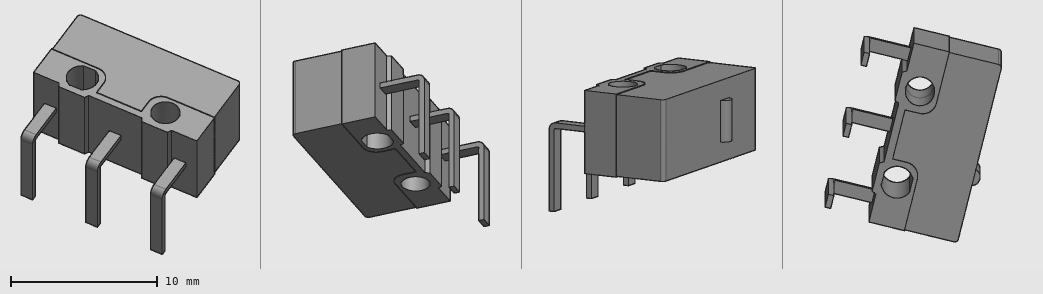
import cadquery as cq
import math

BASE_LENGTH = 12.8
BASE_DEPTH = 2.5
BASE_HEIGHT = 5.8

COVER_STEP = 0.05
COVER_REAR_Y = 6.22
COVER_CORNER_RADIUS = 0.25
COVER_LENGTH = BASE_LENGTH - 2 * COVER_STEP
COVER_HEIGHT = BASE_HEIGHT - 2 * COVER_STEP

TONGUE_WIDTH = 3.51
TONGUE_FRONT_Y = 0.52
NOTCH_CORNER_RADIUS = 0.97

HOLE_OFFSET_X = 3.25
HOLE_Y = 1.2
HOLE_DIAMETER = 2.0
WIDE_HOLE_LENGTH = 2.2
PAD_ROOT_WIDTH = 2.34
PAD_FACE_WIDTH = 2.02
PAD_PROJECTION = 0.3

BUTTON_X = -1.95
BUTTON_RADIUS = 0.6
BUTTON_HEIGHT = 2.89
BUTTON_TIP_Y = 6.71

TERMINAL_COUNT = 3
TERMINAL_PITCH = 5.08
TERMINAL_WIDTH = 0.92
TERMINAL_THICKNESS = 0.4
TERMINAL_INNER_RADIUS = 0.1
TERMINAL_REACH = 3.29
OVERALL_HEIGHT = 8.9
TERMINAL_BOTTOM_Z = BASE_HEIGHT / 2 - OVERALL_HEIGHT


def extrude_centred(sketch, height):
    """Extrude an XY outline equally above and below Z = 0."""
    return sketch.extrude(height / 2, both=True)


def make_base():
    """Front block with a round-cornered notch open to the rear."""
    half_length = BASE_LENGTH / 2
    half_tongue = TONGUE_WIDTH / 2
    shoulder_x = half_tongue + NOTCH_CORNER_RADIUS
    shoulder_y = BASE_DEPTH - NOTCH_CORNER_RADIUS
    arc_rise = NOTCH_CORNER_RADIUS * math.sqrt(0.5)
    arc_mid_x = shoulder_x - arc_rise
    arc_mid_y = shoulder_y + arc_rise
    outline = (
        cq.Workplane("XY")
        .moveTo(-half_length, 0)
        .lineTo(half_length, 0)
        .lineTo(half_length, BASE_DEPTH)
        .lineTo(shoulder_x, BASE_DEPTH)
        .threePointArc((arc_mid_x, arc_mid_y), (half_tongue, shoulder_y))
        .lineTo(half_tongue, TONGUE_FRONT_Y)
        .lineTo(-half_tongue, TONGUE_FRONT_Y)
        .lineTo(-half_tongue, shoulder_y)
        .threePointArc((-arc_mid_x, arc_mid_y), (-shoulder_x, BASE_DEPTH))
        .lineTo(-half_length, BASE_DEPTH)
        .close()
    )
    return extrude_centred(outline, BASE_HEIGHT)


def make_cover_section():
    """Rear block, reaching forward inside the base to fill its notch."""
    depth = COVER_REAR_Y - TONGUE_FRONT_Y
    return (
        cq.Workplane("XY")
        .box(COVER_LENGTH, depth, COVER_HEIGHT)
        .translate((0, TONGUE_FRONT_Y + depth / 2, 0))
        .edges("|Z and >Y")
        .fillet(COVER_CORNER_RADIUS)
    )


def make_pad(centre_x):
    """Trapezoidal pad on the front face."""
    outline = cq.Workplane("XY").polyline([
        (centre_x - PAD_ROOT_WIDTH / 2, 0),
        (centre_x - PAD_FACE_WIDTH / 2, -PAD_PROJECTION),
        (centre_x + PAD_FACE_WIDTH / 2, -PAD_PROJECTION),
        (centre_x + PAD_ROOT_WIDTH / 2, 0),
    ]).close()
    return extrude_centred(outline, BASE_HEIGHT)


def make_round_hole():
    outline = cq.Workplane("XY").center(HOLE_OFFSET_X, HOLE_Y).circle(HOLE_DIAMETER / 2)
    return extrude_centred(outline, BASE_HEIGHT)


def make_wide_hole():
    """Larger round hole with flats that keep its Y size equal to the round hole."""
    centre = cq.Workplane("XY").center(-HOLE_OFFSET_X, HOLE_Y)
    round_part = extrude_centred(centre.circle(WIDE_HOLE_LENGTH / 2), BASE_HEIGHT)
    flats = centre.box(WIDE_HOLE_LENGTH, HOLE_DIAMETER, BASE_HEIGHT)
    return round_part.intersect(flats)


def make_housing():
    housing = make_base().union(make_cover_section())
    for centre_x in (-HOLE_OFFSET_X, HOLE_OFFSET_X):
        housing = housing.union(make_pad(centre_x))
    return housing.cut(make_round_hole()).cut(make_wide_hole())


def make_button():
    """Cylinder segment resting on the rear face of the housing."""
    centre_y = BUTTON_TIP_Y - BUTTON_RADIUS
    half_chord = math.sqrt(BUTTON_RADIUS**2 - (COVER_REAR_Y - centre_y) ** 2)
    outline = (
        cq.Workplane("XY")
        .moveTo(BUTTON_X - half_chord, COVER_REAR_Y)
        .threePointArc((BUTTON_X, BUTTON_TIP_Y), (BUTTON_X + half_chord, COVER_REAR_Y))
        .close()
    )
    return extrude_centred(outline, BUTTON_HEIGHT)


def make_terminal(centre_x):
    """Flat strip leaving the front face and bent downward."""
    top_z = TERMINAL_THICKNESS / 2
    inner_y = TERMINAL_THICKNESS - TERMINAL_REACH
    strip = (
        cq.Workplane("YZ")
        .moveTo(0, top_z)
        .lineTo(-TERMINAL_REACH, top_z)
        .lineTo(-TERMINAL_REACH, TERMINAL_BOTTOM_Z)
        .lineTo(inner_y, TERMINAL_BOTTOM_Z)
        .lineTo(inner_y, -top_z)
        .lineTo(0, -top_z)
        .close()
        .extrude(TERMINAL_WIDTH / 2, both=True)
    )
    outer_bend = cq.selectors.NearestToPointSelector((0, -TERMINAL_REACH, top_z))
    inner_bend = cq.selectors.NearestToPointSelector((0, inner_y, -top_z))
    strip = strip.edges(outer_bend).fillet(TERMINAL_INNER_RADIUS + TERMINAL_THICKNESS)
    strip = strip.edges(inner_bend).fillet(TERMINAL_INNER_RADIUS)
    return strip.translate((centre_x, 0, 0))


housing = make_housing()
button = make_button()
terminals = []
for index in range(TERMINAL_COUNT):
    terminal_x = (index - (TERMINAL_COUNT - 1) / 2) * TERMINAL_PITCH
    terminals.append(make_terminal(terminal_x).val())

result = cq.Compound.makeCompound([housing.val(), button.val(), *terminals])